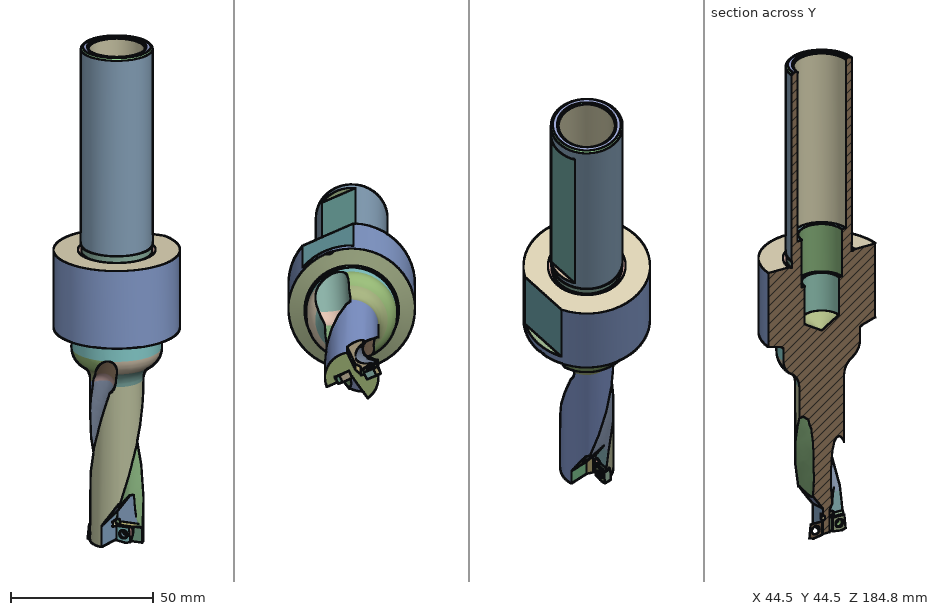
import cadquery as cq
import math


total_length = 184.8
shank_dia = 25.3
shank_chamfer = 0.7
flange_dia = 44.5
flange_top = 109.0
flange_bottom = 80.0
flange_cone_radius = 16.6
flange_cone_bottom = 78.3
neck_dia = 32.0
neck_top = 77.8
neck_bottom = 72.8
stem_dia = 18.8
stem_top = 61.0
stem_bottom = 0.7

undercut_dia = 25.0
undercut_top = 111.0
undercut_face_radius = 13.7
undercut_face_depth = 0.5

shank_flat_y = 10.9
shank_flat_bottom = 113.5
shank_flat_top = 179.8
flange_flat_y = 20.0
flange_flat_bottom = 83.7

bore_steps = [(19.8, 118.3), (16.5, 99.8), (14.0, 85.0)]
bore_mouth_chamfer = 0.5
bore_tip_angle = 118.0

flute_twist = 1.948
flute_bottom = 6.5
outer_flute_radius = 4.0
outer_flute_offset = 8.0
outer_flute_angle = 256.5
inner_flute_radius = 7.8
inner_flute_offset = 11.0
inner_flute_angle = 68.0
runout_side = 0.9
runout_out = 1.0
runout_length = 29.5

pocket_floor_drop = 0.5
pocket_flat_top = 6.3
pocket_step_top = 7.4
pocket_top = 17.4
pocket_step_y = 1.1
pocket_end_y = 2.5
pocket_slope_width = 4.6
pocket_reach = 14.8
pocket_overrun = 1.8
inner_wall_x = -0.4
inner_wall_lean = 1.7
inner_wall_top = 8.5
outer_wall_x = 2.4
outer_wall_top = 7.4
outer_corner_width = 1.0
outer_corner_depth = 2.2

insert_width = 5.4
insert_top_width = 4.8
insert_height = 6.0
insert_tip_x = 3.7
insert_corner_z = 0.5
insert_thickness = 2.8
insert_hole_x = insert_width / 2
insert_hole_z = 3.1
seat_width = 6.3
seat_shoulder_z = 4.2
insert_hole_dia = 2.5
insert_sink_dia = 3.1
screw_hole_dia = 2.2
screw_hole_depth = 1.0
relief_dia = 2.2
relief_depth = 1.8
inner_insert_x = -0.2
inner_insert_z = 0.0
outer_insert_x = 4.6
outer_insert_z = 0.2

stem_radius = stem_dia / 2
half_turn = 180.0
inward = cq.Vector(0, 1, 0)


def turned_body():
    """Revolve the outside; the neck runs into the stem through two equal tangent arcs."""
    shank_radius = shank_dia / 2
    neck_radius = neck_dia / 2
    blend_width = (neck_radius - stem_radius) / 2
    blend_height = (neck_bottom - stem_top) / 2
    blend_mid = (stem_radius + blend_width, stem_top + blend_height)
    return (
        cq.Workplane("XZ")
        .moveTo(0, stem_bottom)
        .lineTo(stem_radius, stem_bottom)
        .lineTo(stem_radius, stem_top)
        .tangentArcPoint(blend_mid, relative=False)
        .tangentArcPoint((neck_radius, neck_bottom), relative=False)
        .lineTo(neck_radius, neck_top)
        .lineTo(flange_cone_radius, flange_cone_bottom)
        .lineTo(flange_dia / 2, flange_bottom)
        .lineTo(flange_dia / 2, flange_top)
        .lineTo(undercut_face_radius, flange_top)
        .lineTo(undercut_dia / 2, flange_top - undercut_face_depth)
        .lineTo(undercut_dia / 2, undercut_top)
        .lineTo(shank_radius, undercut_top)
        .lineTo(shank_radius, total_length - shank_chamfer)
        .lineTo(shank_radius - shank_chamfer, total_length)
        .lineTo(0, total_length)
        .close()
        .revolve(360, (0, 0, 0), (0, 1, 0))
    )


def coolant_bore():
    mouth_radius = bore_steps[0][0] / 2
    profile = (
        cq.Workplane("XZ")
        .moveTo(0, total_length)
        .lineTo(mouth_radius + bore_mouth_chamfer, total_length)
        .lineTo(mouth_radius, total_length - bore_mouth_chamfer)
    )
    for (dia, floor), (next_dia, _) in zip(bore_steps, bore_steps[1:]):
        profile = profile.lineTo(dia / 2, floor).lineTo(next_dia / 2, floor)
    last_dia, last_floor = bore_steps[-1]
    tip_depth = last_dia / 2 / math.tan(math.radians(bore_tip_angle / 2))
    return (
        profile.lineTo(last_dia / 2, last_floor)
        .lineTo(0, last_floor - tip_depth)
        .close()
        .revolve(360, (0, 0, 0), (0, 1, 0))
    )


def flat_cutter(flat_y, bottom, top):
    """Block that takes everything beyond Y = flat_y between two heights."""
    return (
        cq.Workplane("XY", origin=(0, flat_y, bottom))
        .rect(flange_dia, flange_dia)
        .extrude(top - bottom)
        .translate((0, flange_dia / 2, 0))
    )


def flute_cutter(radius, offset, top_angle):
    """Twisted round bar, plus the straight runout that leaves through the neck."""
    height = stem_top - flute_bottom
    twist = flute_twist * height
    helix = (
        cq.Workplane("XY", origin=(0, 0, flute_bottom))
        .moveTo(offset, 0)
        .circle(radius)
        .twistExtrude(height, twist)
        .rotate((0, 0, 0), (0, 0, 1), top_angle - twist)
    )
    start = cq.Vector(offset, 0, stem_top)
    direction = cq.Vector(runout_out, runout_side, 1)
    exit_bar = cq.Solid.makeCylinder(radius, runout_length, start, direction)
    exit_ball = cq.Workplane("XY").sphere(radius).translate(start)
    runout = exit_ball.union(cq.Workplane(exit_bar)).rotate((0, 0, 0), (0, 0, 1), top_angle)
    return helix, runout


def pocket_floor():
    """Everything in front of the floor of a pocket that opens towards -Y."""
    return (
        cq.Workplane("YZ", origin=(-pocket_reach, 0, 0))
        .polyline([
            (-pocket_reach, -pocket_overrun),
            (pocket_floor_drop, -pocket_overrun),
            (pocket_floor_drop, pocket_flat_top),
            (pocket_step_y, pocket_step_top),
            (pocket_end_y, pocket_top),
            (-pocket_reach, pocket_top),
        ])
        .close()
        .extrude(2 * pocket_reach)
    )


def pocket_side(wall_start_x, wall_top, peak_x):
    """Everything outboard of a side wall that is upright up to wall_top and then slopes outwards."""
    return (
        cq.Workplane("XZ", origin=(0, pocket_reach, 0))
        .polyline([
            (wall_start_x, -pocket_overrun),
            (wall_start_x, wall_top),
            (peak_x, pocket_top),
            (pocket_reach, pocket_top),
            (pocket_reach, -pocket_overrun),
        ])
        .close()
        .extrude(2 * pocket_reach)
    )


def pocket_plan(inboard_edge):
    """Pocket outline seen along Z; inboard_edge runs from the floor to the outside of the stem."""
    return (
        cq.Workplane("XY", origin=(0, 0, -pocket_overrun))
        .moveTo(pocket_reach, pocket_reach)
        .lineTo(inboard_edge[0][0], pocket_reach)
        .polyline(inboard_edge, includeCurrent=True)
        .lineTo(inboard_edge[-1][0], -pocket_reach)
        .lineTo(pocket_reach, -pocket_reach)
        .close()
        .extrude(pocket_top + pocket_overrun)
    )


def inner_pocket():
    """Pocket of the central insert, with a wall that leans away from the insert."""
    outside_x = inner_wall_x - inner_wall_lean
    side = pocket_side(outside_x, inner_wall_top, inner_wall_x + pocket_slope_width)
    plan = pocket_plan([(inner_wall_x, 0), (outside_x, -stem_radius)])
    return pocket_floor().intersect(side).intersect(plan)


def outer_pocket():
    """Pocket of the peripheral insert, with a bevelled corner between floor and wall."""
    side = pocket_side(outer_wall_x, outer_wall_top, outer_wall_x + pocket_slope_width)
    plan = pocket_plan([
        (outer_wall_x + outer_corner_width, 0),
        (outer_wall_x, -outer_corner_depth),
    ])
    return pocket_floor().intersect(side).intersect(plan)


def insert_blank(x, z, outboard_edge):
    """Square outline with a pointed lower edge, extruded from the rake face at Y = 0 towards +Y."""
    return (
        cq.Workplane("XZ", origin=(x, 0, z))
        .polyline([(0, insert_height), (0, insert_corner_z), (insert_tip_x, 0), *outboard_edge])
        .close()
        .extrude(-insert_thickness)
    )


def cutting_insert(x, z):
    sink_depth = (insert_sink_dia - insert_hole_dia) / 2
    hole_start = cq.Vector(x + insert_hole_x, 0, z + insert_hole_z)
    hole = cq.Solid.makeCylinder(insert_hole_dia / 2, insert_thickness, hole_start, inward)
    sink = cq.Solid.makeCone(insert_sink_dia / 2, insert_hole_dia / 2, sink_depth, hole_start, inward)
    outboard_edge = [(insert_width, insert_corner_z), (insert_top_width, insert_height)]
    blank = insert_blank(x, z, outboard_edge)
    return blank.cut(cq.Workplane(hole)).cut(cq.Workplane(sink))


def insert_seat(x, z):
    """Recess wider than its insert on the outboard side, with a screw hole and a corner relief."""
    screw_start = cq.Vector(x + insert_hole_x, 0, z + insert_hole_z)
    screw_hole = cq.Solid.makeCylinder(
        screw_hole_dia / 2, insert_thickness + screw_hole_depth, screw_start, inward
    )
    relief_start = cq.Vector(x, -relief_depth, z + insert_height + relief_dia / 2)
    relief = cq.Solid.makeCylinder(relief_dia / 2, 2 * relief_depth, relief_start, inward)
    outboard_edge = [
        (insert_width, insert_corner_z),
        (seat_width, seat_shoulder_z),
        (seat_width, insert_height),
    ]
    recess = insert_blank(x, z, outboard_edge)
    return recess.union(cq.Workplane(screw_hole)).union(cq.Workplane(relief))


def outboard_clearance(x, z):
    """Open the seat of the peripheral insert to the outside of the stem."""
    return (
        cq.Workplane("XY")
        .box(insert_width, insert_thickness, z + insert_height, centered=False)
        .translate((x + insert_top_width, 0, 0))
    )


def turn_over(shape):
    """Turn a shape half a revolution about the drill axis."""
    return shape.rotate((0, 0, 0), (0, 0, 1), half_turn)


drill_body = turned_body().cut(coolant_bore())
drill_body = drill_body.cut(flat_cutter(shank_flat_y, shank_flat_bottom, shank_flat_top))
drill_body = drill_body.cut(flat_cutter(flange_flat_y, flange_flat_bottom, flange_top))
flutes = [
    (outer_flute_radius, outer_flute_offset, outer_flute_angle),
    (inner_flute_radius, inner_flute_offset, inner_flute_angle),
]
for flute in flutes:
    for cutter in flute_cutter(*flute):
        drill_body = drill_body.cut(cutter)
drill_body = drill_body.cut(inner_pocket())
drill_body = drill_body.cut(turn_over(outer_pocket()))
drill_body = drill_body.cut(insert_seat(inner_insert_x, inner_insert_z))
drill_body = drill_body.cut(turn_over(insert_seat(outer_insert_x, outer_insert_z)))
drill_body = drill_body.cut(turn_over(outboard_clearance(outer_insert_x, outer_insert_z)))

inner_insert = cutting_insert(inner_insert_x, inner_insert_z)
outer_insert = turn_over(cutting_insert(outer_insert_x, outer_insert_z))

bodies = [drill_body, inner_insert, outer_insert]
result = cq.Compound.makeCompound([body.solids().val() for body in bodies])